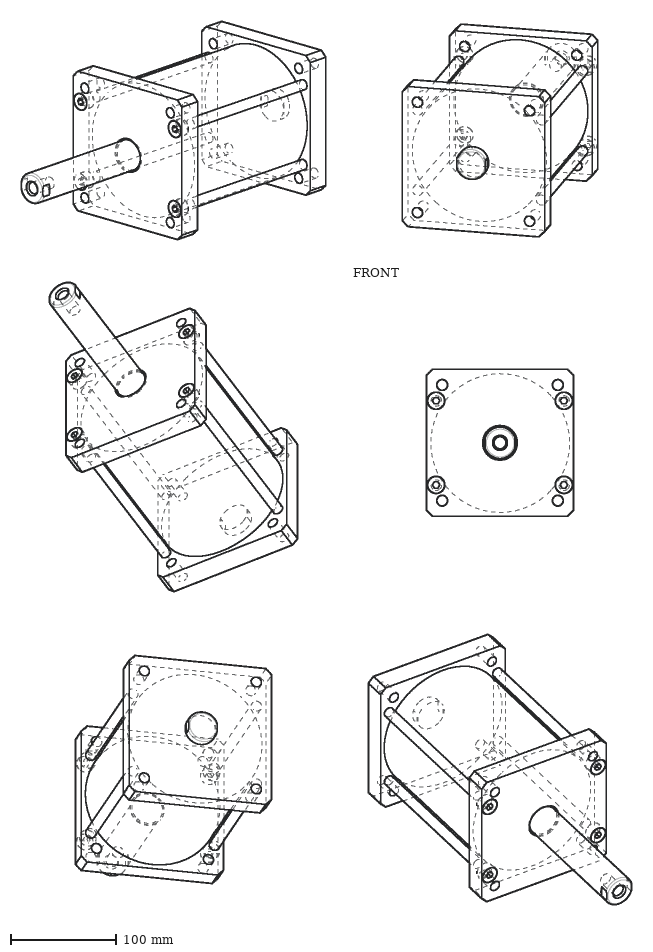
import cadquery as cq
import math


plate_size = 140.0
plate_thickness = 22.0
plate_corner_chamfer = 5.8
mount_hole_spacing = 110.0
mount_hole_diameter = 10.0

barrel_diameter = 132.0
barrel_length = 159.0

tie_rod_diameter = 10.0
tie_rod_spacing_x = 121.5
tie_rod_spacing_z = 80.0
counterbore_diameter = 16.5
counterbore_depth = 10.0
screw_head_diameter = 16.0
socket_across_flats = 6.0
socket_depth = 6.0

rod_diameter = 30.0
rod_front_length = 135.0
rod_rear_length = 10.0
rod_end_fillet = 1.75
wrench_flat_width = 28.0
wrench_flat_length = 9.0
rod_clearance_diameter = 33.0
rod_clearance_depth = 1.5

tap_diameter = 11.45
tap_countersink_diameter = 14.25
tap_countersink_depth = 2.4
tap_depth = 25.0
drill_point_angle = 118.0

body_length = 2 * plate_thickness + barrel_length
rod_front_y = -rod_front_length
rod_rear_y = body_length + rod_rear_length


def section_plane(y):
    """Workplane at the given Y whose local axes are X and Z, extruding toward +Y."""
    return cq.Workplane(cq.Plane(origin=(0, y, 0), xDir=(1, 0, 0), normal=(0, 1, 0)))


def cylinder(diameter, y_start, length):
    return section_plane(y_start).circle(diameter / 2).extrude(length)


def tie_rod_plane(y):
    """Section plane with one point selected on each tie rod axis."""
    return section_plane(y).rarray(tie_rod_spacing_x, tie_rod_spacing_z, 2, 2)


def end_plate(y_start):
    plate = section_plane(y_start).rect(plate_size, plate_size).extrude(plate_thickness)
    plate = plate.edges("|Y").chamfer(plate_corner_chamfer)
    holes = (
        section_plane(y_start)
        .rarray(mount_hole_spacing, mount_hole_spacing, 2, 2)
        .circle(mount_hole_diameter / 2)
        .extrude(plate_thickness)
    )
    return plate.cut(holes)


def tie_rods():
    return tie_rod_plane(plate_thickness).circle(tie_rod_diameter / 2).extrude(barrel_length)


def screw_clearances():
    """Narrow ring gaps between the screw heads and their counterbores."""
    bores = tie_rod_plane(0).circle(counterbore_diameter / 2).extrude(counterbore_depth)
    heads = tie_rod_plane(0).circle(screw_head_diameter / 2).extrude(counterbore_depth)
    return bores.cut(heads)


def screw_sockets():
    across_corners = socket_across_flats / math.cos(math.pi / 6)
    return tie_rod_plane(0).polygon(6, across_corners).extrude(socket_depth)


def rod_clearance():
    """Ring recess around the piston rod in the front plate."""
    bore = cylinder(rod_clearance_diameter, 0, rod_clearance_depth)
    return bore.cut(cylinder(rod_diameter, 0, rod_clearance_depth))


def wrench_flats(y_start):
    """Material outside a pair of flats facing -X and +X."""
    blank = cylinder(2 * rod_diameter, y_start, wrench_flat_length)
    core = section_plane(y_start).rect(wrench_flat_width, 2 * rod_diameter).extrude(wrench_flat_length)
    return blank.cut(core)


def tapped_hole():
    """Countersunk blind hole with a conical drill point, revolved about the rod axis."""
    radius = tap_diameter / 2
    countersink_radius = tap_countersink_diameter / 2
    point_depth = radius / math.tan(math.radians(drill_point_angle / 2))
    profile = [
        (0, rod_front_y),
        (countersink_radius, rod_front_y),
        (radius, rod_front_y + tap_countersink_depth),
        (radius, rod_front_y + tap_depth),
        (0, rod_front_y + tap_depth + point_depth),
    ]
    return cq.Workplane("XY").polyline(profile).close().revolve(360, (0, 0, 0), (0, 1, 0))


def piston_rod():
    rod = cylinder(rod_diameter, rod_front_y, rod_rear_y - rod_front_y)
    rod = rod.faces("<Y or >Y").fillet(rod_end_fillet)
    rod = rod.cut(wrench_flats(rod_front_y))
    rod = rod.cut(wrench_flats(rod_rear_y - wrench_flat_length))
    return rod.cut(tapped_hole())


front_plate = end_plate(0).cut(screw_clearances()).cut(screw_sockets()).cut(rod_clearance())
rear_plate = end_plate(plate_thickness + barrel_length)
barrel = cylinder(barrel_diameter, plate_thickness, barrel_length)

result = front_plate.union(barrel).union(rear_plate).union(tie_rods()).union(piston_rod())